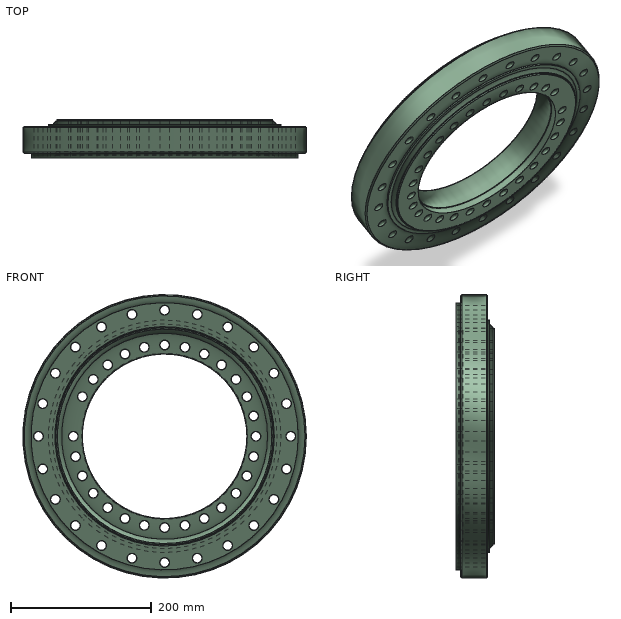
import cadquery as cq
import math

OUTER_DIAMETER = 403.5
TOTAL_WIDTH = 55.0
RING_WIDTH = 45.0

SPIGOT_RADIUS = 190.0
SPIGOT_LENGTH = 6.5
RIM_CHAMFER = 2.0
OUTER_RING_BORE_RADIUS = 154.5
MOUTH_RADIUS = 156.0
MOUTH_DEPTH = 3.5
PAD_RADIUS = 165.5
PAD_HEIGHT = 2.5
OUTER_BOLT_RADIUS = 179.5
OUTER_BOLT_COUNT = 24

BORE_RADIUS = 117.0
REGISTER_RADIUS = 118.2
REGISTER_DEPTH = 9.5
INNER_RING_RADIUS = 153.5
INNER_BOLT_RADIUS = 130.0
INNER_BOLT_PITCHES = 28
SKIPPED_BOLT_PITCH = 13

BOLT_HOLE_DIAMETER = 13.5

SEAL_THICKNESS = 5.0
FRONT_LAND_RADIUS = 152.5
FRONT_LIP_RADIUS = 146.5
BACK_LAND_RADIUS = 155.0
BACK_LIP_RADIUS = 159.8

outer_radius = OUTER_DIAMETER / 2
inner_ring_front = TOTAL_WIDTH - RING_WIDTH
pad_face = RING_WIDTH + PAD_HEIGHT


def revolved(profile):
    """Solid of revolution about Y from (radius, y) points."""
    return cq.Workplane("XY").polyline(profile).close().revolve(360, (0, 0, 0), (0, 1, 0))


def bolt_holes(circle_radius, pitches, skipped=()):
    """Cylinders through the full width, evenly pitched from +X towards +Z."""
    angles = [2 * math.pi * i / pitches for i in range(pitches) if i not in skipped]
    centres = [(circle_radius * math.cos(a), circle_radius * math.sin(a)) for a in angles]
    return cq.Workplane("XZ").pushPoints(centres).circle(BOLT_HOLE_DIAMETER / 2).extrude(-TOTAL_WIDTH)


def make_outer_ring():
    ring = revolved([
        (OUTER_RING_BORE_RADIUS, MOUTH_DEPTH),
        (MOUTH_RADIUS, MOUTH_DEPTH),
        (MOUTH_RADIUS, 0),
        (SPIGOT_RADIUS, 0),
        (SPIGOT_RADIUS, SPIGOT_LENGTH),
        (outer_radius - RIM_CHAMFER, SPIGOT_LENGTH),
        (outer_radius, SPIGOT_LENGTH + RIM_CHAMFER),
        (outer_radius, RING_WIDTH - RIM_CHAMFER),
        (outer_radius - RIM_CHAMFER, RING_WIDTH),
        (PAD_RADIUS, RING_WIDTH),
        (PAD_RADIUS, pad_face),
        (OUTER_RING_BORE_RADIUS, pad_face),
    ])
    return ring.cut(bolt_holes(OUTER_BOLT_RADIUS, OUTER_BOLT_COUNT))


def make_inner_ring():
    ring = revolved([
        (BORE_RADIUS, inner_ring_front),
        (INNER_RING_RADIUS, inner_ring_front),
        (INNER_RING_RADIUS, TOTAL_WIDTH),
        (REGISTER_RADIUS, TOTAL_WIDTH),
        (REGISTER_RADIUS, TOTAL_WIDTH - REGISTER_DEPTH),
        (BORE_RADIUS, TOTAL_WIDTH - REGISTER_DEPTH),
    ])
    return ring.cut(bolt_holes(INNER_BOLT_RADIUS, INNER_BOLT_PITCHES, [SKIPPED_BOLT_PITCH]))


def make_front_seal():
    """Fits in the outer ring's bore and lies on the inner ring's front face; its lip slopes down inwards."""
    seal_front = inner_ring_front - SEAL_THICKNESS
    return revolved([
        (OUTER_RING_BORE_RADIUS, seal_front),
        (FRONT_LAND_RADIUS, seal_front),
        (FRONT_LIP_RADIUS, inner_ring_front),
        (OUTER_RING_BORE_RADIUS, inner_ring_front),
    ])


def make_back_seal():
    """Fits round the inner ring and lies on the pad; its lip slopes down outwards to the pad."""
    seal_back = pad_face + SEAL_THICKNESS
    return revolved([
        (INNER_RING_RADIUS, pad_face),
        (BACK_LIP_RADIUS, pad_face),
        (BACK_LAND_RADIUS, seal_back),
        (INNER_RING_RADIUS, seal_back),
    ])


outer_ring = make_outer_ring()
inner_ring = make_inner_ring()
front_seal = make_front_seal()
back_seal = make_back_seal()

result = cq.Compound.makeCompound([
    outer_ring.val(),
    inner_ring.val(),
    front_seal.val(),
    back_seal.val(),
])